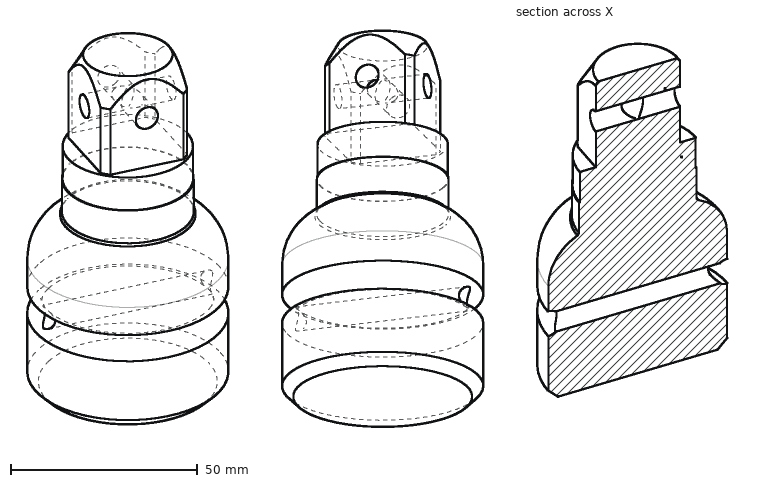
import cadquery as cq

body_radius = 27.0
base_chamfer = 3.0
groove_height = 25.0
groove_radius = 4.0
pin_hole_diameter = 6.5
dome_base = 37.5
dome_top = 51.3
dome_top_radius = 18.2
dome_arc_radius = 15.2

neck_base = 52.0
neck_step = 62.0
neck_top = 72.0
lower_neck_radius = 17.7
upper_neck_radius = 17.5

total_height = 100.0
drive_width = 25.4
drive_corner_radius = 16.6
drive_shoulder = 92.0
drive_tip_radius = 12.0
drive_hole_height = 87.0
drive_hole_diameter = 6.5


def turned_body():
    """Revolve the body and neck about Z, including the round groove."""
    return (
        cq.Workplane("XZ")
        .lineTo(body_radius - base_chamfer, 0)
        .lineTo(body_radius, base_chamfer)
        .lineTo(body_radius, groove_height - groove_radius)
        .threePointArc(
            (body_radius - groove_radius, groove_height),
            (body_radius, groove_height + groove_radius),
        )
        .lineTo(body_radius, dome_base)
        .radiusArc((dome_top_radius, dome_top), -dome_arc_radius)
        .lineTo(lower_neck_radius, neck_base)
        .lineTo(lower_neck_radius, neck_step)
        .lineTo(upper_neck_radius, neck_step)
        .lineTo(upper_neck_radius, neck_top)
        .lineTo(0, neck_top)
        .close()
        .revolve(360, (0, 0, 0), (0, 1, 0))
    )


def square_drive():
    """Square bar trimmed by a turned envelope that tapers at the tip."""
    bar = (
        cq.Workplane("XY", origin=(0, 0, neck_top))
        .rect(drive_width, drive_width)
        .extrude(total_height - neck_top)
    )
    envelope = (
        cq.Workplane("XZ")
        .moveTo(0, neck_top)
        .lineTo(drive_corner_radius, neck_top)
        .lineTo(drive_corner_radius, drive_shoulder)
        .lineTo(drive_tip_radius, total_height)
        .lineTo(0, total_height)
        .close()
        .revolve(360, (0, 0, 0), (0, 1, 0))
    )
    return bar.intersect(envelope)


def cross_hole(plane, height, diameter):
    """Cylinder through the whole part, normal to the given plane."""
    return (
        cq.Workplane(plane, origin=(0, 0, height))
        .circle(diameter / 2)
        .extrude(body_radius, both=True)
    )


result = turned_body().union(square_drive())
result = result.cut(cross_hole("XZ", groove_height, pin_hole_diameter))
for hole_plane in ("XZ", "YZ"):
    result = result.cut(cross_hole(hole_plane, drive_hole_height, drive_hole_diameter))